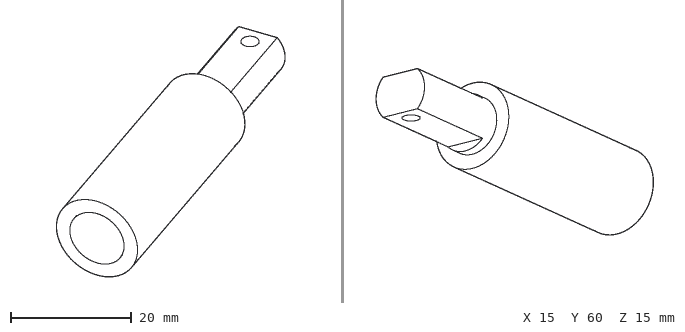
import cadquery as cq

total_length = 60.0
body_diameter = 15.0
body_length = 40.0
shank_diameter = 10.0

socket_diameter = shank_diameter
socket_depth = 30.0

flat_length = 18.0
flat_thickness = 7.1

hole_diameter = 3.0
hole_from_end = 3.0


def cylinder_along_y(diameter, start, end):
    """Solid cylinder on the Y axis from start to end."""
    axis_start = cq.Vector(0, start, 0)
    axis_direction = cq.Vector(0, 1, 0)
    return cq.Workplane(cq.Solid.makeCylinder(diameter / 2, end - start, axis_start, axis_direction))


def flat_cutter(side):
    """Block that removes the shank above (side = 1) or below (side = -1) the flat."""
    height = shank_diameter / 2
    center_y = total_length - flat_length / 2
    center_z = side * (flat_thickness + height) / 2
    return cq.Workplane("XY").box(body_diameter, flat_length, height).translate((0, center_y, center_z))


result = cylinder_along_y(body_diameter, 0, body_length)
result = result.union(cylinder_along_y(shank_diameter, socket_depth, total_length))

result = result.cut(cylinder_along_y(socket_diameter, 0, socket_depth))

for side in (1, -1):
    result = result.cut(flat_cutter(side))

cross_hole = (
    cq.Workplane("XY")
    .center(0, total_length - hole_from_end)
    .circle(hole_diameter / 2)
    .extrude(shank_diameter, both=True)
)
result = result.cut(cross_hole)